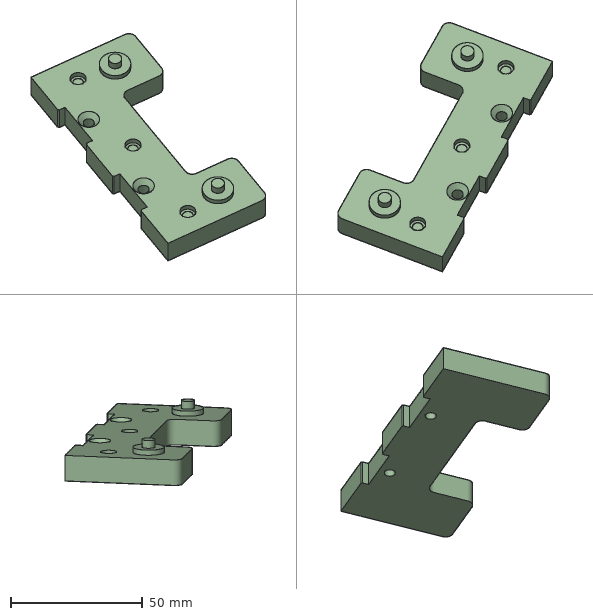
import cadquery as cq

length = 100.0
width = 45.0
thickness = 10.0
middle = length / 2

arm_width = 25.0
opening_floor = 25.0
corner_radius = 3.0

notch_length = 20.0
notch_depth = 3.0
notch_chamfer = 0.5

screw_offset = 20.0
screw_y = 7.5
screw_diameter = 4.2
countersink_diameter = 8.2
countersink_angle = 90.0

stepped_spacing = 40.0
stepped_y = 15.0
step_diameter = 6.1
step_depth = 2.1
core_diameter = 4.0
core_depth = 0.2

pin_y = 30.0
pad_diameter = 12.0
pad_height = 2.0
pin_diameter = 5.0
pin_height = 3.0


def plate():
    """U-shaped plate with rounded arm corners."""
    body = cq.Workplane().box(length, width, thickness, centered=False)
    opening = (
        cq.Workplane()
        .box(length - 2 * arm_width, width - opening_floor, thickness, centered=False)
        .translate((arm_width, opening_floor, 0))
    )
    body = body.cut(opening)
    rear_edges = cq.selectors.BoxSelector(
        (-1, opening_floor - 1, -1), (length + 1, width + 1, thickness + 1)
    )
    return body.edges("|Z").edges(rear_edges).fillet(corner_radius)


def cut_notch(body, x):
    """Cut a front notch centred at x and chamfer its two outer edges."""
    notch = (
        cq.Workplane()
        .box(notch_length, notch_depth, thickness, centered=(True, False, False))
        .translate((x, 0, 0))
    )
    reach = notch_length / 2 + notch_chamfer
    outer_edges = cq.selectors.BoxSelector(
        (x - reach, -notch_chamfer, -1), (x + reach, notch_chamfer, thickness + 1)
    )
    return body.cut(notch).edges("|Z").edges(outer_edges).chamfer(notch_chamfer)


def top_points(body, points):
    """Place points on the top face of the plate."""
    return body.copyWorkplane(cq.Workplane(origin=(0, 0, thickness))).pushPoints(points)


screw_x = [middle - screw_offset, middle + screw_offset]
stepped_points = [(middle + i * stepped_spacing, stepped_y) for i in (-1, 0, 1)]
pin_points = [(x, pin_y) for x in (arm_width / 2, length - arm_width / 2)]

result = plate()
for x in screw_x:
    result = cut_notch(result, x)

result = top_points(result, [(x, screw_y) for x in screw_x]).cskHole(
    screw_diameter, countersink_diameter, countersink_angle
)
result = top_points(result, stepped_points).cboreHole(
    core_diameter, step_diameter, step_depth, step_depth + core_depth
)
result = top_points(result, pin_points).circle(pad_diameter / 2).extrude(pad_height)
result = top_points(result, pin_points).circle(pin_diameter / 2).extrude(pad_height + pin_height)